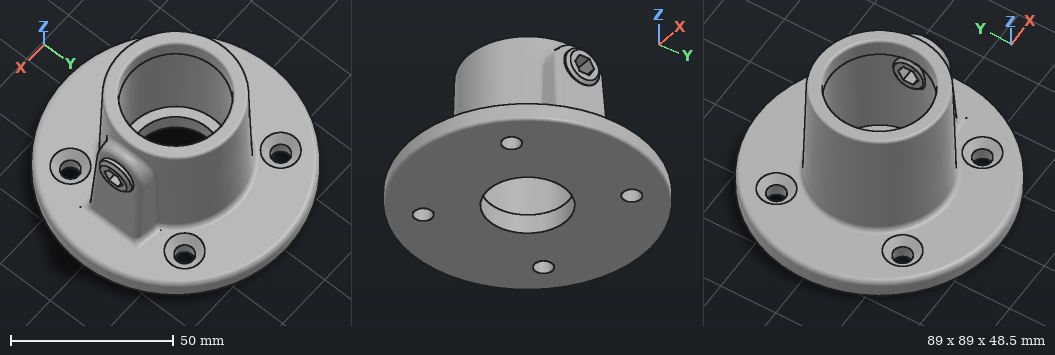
import cadquery as cq
import math

total_height = 48.5

flange_diameter = 89.0
flange_thickness = 7.0
flange_top_round = 2.0
flange_bottom_round = 1.0

socket_top_diameter = 45.1
socket_foot_diameter = 47.4
socket_rim_round = 1.0

mouth_diameter = 35.18
mouth_depth = 6.3
mouth_round = 1.0
relief_diameter = 36.18
through_diameter = 29.0
seat_height = flange_thickness

hole_count = 4
hole_circle_diameter = 65.0
hole_diameter = 6.5
countersink_diameter = 12.5
countersink_angle = 108.0

screw_height = 36.0
screw_diameter = 13.0
screw_inner_x = 16.6
screw_outer_x = 29.7
screw_chamfer = 1.1
hexagon_across_flats = 6.3

pad_root_x = 20.0
pad_root_radius = 10.0
pad_arch_height = 35.8
pad_side_draft = 2.3
pad_taper = 7.5
pad_foot_x = 30.15
pad_face_lean = 4.6
pad_overrun = 2.0

foot_round = 2.0
pad_side_round = 2.0
pad_face_round = 2.0

margin = 0.2


def cylinder(diameter, bottom, top):
    """Upright cylinder on the Z axis between two heights."""
    return cq.Workplane("XY", origin=(0, 0, bottom)).circle(diameter / 2).extrude(top - bottom)


def make_flange():
    """Disc with rounded edges."""
    flange = cylinder(flange_diameter, 0, flange_thickness)
    flange = flange.faces(">Z").edges().fillet(flange_top_round)
    return flange.faces("<Z").edges().fillet(flange_bottom_round)


def make_socket():
    """Cone with a rounded rim, standing on the flange."""
    socket = (
        cq.Workplane("XZ", origin=(0, 0, flange_thickness))
        .lineTo(socket_foot_diameter / 2, 0)
        .lineTo(socket_top_diameter / 2, total_height - flange_thickness)
        .lineTo(0, total_height - flange_thickness)
        .close()
        .revolve(360, (0, 0), (0, 1))
    )
    return socket.faces(">Z").edges().fillet(socket_rim_round)


def pad_section(x):
    """Arch-shaped wire of the pad at one X: its radius shrinks along +X."""
    draft = math.radians(pad_side_draft)
    radius = pad_root_radius - (x - pad_root_x) * math.tan(math.radians(pad_taper))
    tangent_y = radius * math.cos(draft)
    tangent_z = pad_arch_height + radius * math.sin(draft)
    foot_y = tangent_y + tangent_z * math.tan(draft)
    return (
        cq.Workplane("YZ", origin=(x, 0, 0))
        .moveTo(-foot_y, 0)
        .lineTo(-tangent_y, tangent_z)
        .threePointArc((0, pad_arch_height + radius), (tangent_y, tangent_z))
        .lineTo(foot_y, 0)
        .close()
        .val()
    )


def make_pad():
    """Arched pad with drafted sides, cut off by a face that leans back."""
    sections = [pad_section(pad_root_x), pad_section(pad_foot_x + pad_overrun)]
    arch = cq.Workplane(cq.Solid.makeLoft(sections, True))
    lean = math.tan(math.radians(pad_face_lean))
    face_bottom_x = pad_foot_x + flange_thickness * lean
    face_top_x = face_bottom_x - total_height * lean
    leaning_block = (
        cq.Workplane("XZ")
        .lineTo(face_bottom_x, 0)
        .lineTo(face_top_x, total_height)
        .lineTo(0, total_height)
        .close()
        .extrude(flange_diameter / 2, both=True)
    )
    return arch.intersect(leaning_block)


def edges_between(body, low, high):
    """Edges of the body whose centres lie in the box between two corners."""
    return body.edges(cq.selectors.BoxSelector(low, high))


def round_pad_and_foot(body):
    """Round the foot, then the pad face, then the corner between pad and socket."""
    half_width = socket_foot_diameter / 2 + margin
    above_foot = flange_thickness + foot_round / 2
    below_rim = total_height - socket_rim_round
    body = edges_between(
        body,
        (-half_width, -half_width, flange_thickness - margin),
        (pad_foot_x + margin, half_width, flange_thickness + margin),
    ).fillet(foot_round)
    body = edges_between(
        body,
        (pad_foot_x - 2 * pad_face_round, -half_width, above_foot),
        (pad_foot_x + margin, half_width, below_rim),
    ).fillet(pad_face_round)
    return edges_between(
        body,
        (0, -half_width, above_foot),
        (socket_foot_diameter / 2 - margin, half_width, below_rim),
    ).fillet(pad_side_round)


def cut_bore(body):
    """Bore the socket from above and open the flange below the tube seat."""
    relief_top = total_height - mouth_depth
    body = body.cut(cylinder(through_diameter, 0, total_height))
    body = body.cut(cylinder(relief_diameter, seat_height, relief_top))
    body = body.cut(cylinder(mouth_diameter, seat_height, total_height))
    inner_edge = cq.selectors.RadiusNthSelector(0)
    return body.faces(">Z").edges(inner_edge).fillet(mouth_round)


def cut_mounting_holes(body):
    """Countersunk holes on a circle, midway between the X and Y axes."""
    return (
        body.copyWorkplane(cq.Workplane("XY", origin=(0, 0, flange_thickness)))
        .polarArray(hole_circle_diameter / 2, 180 / hole_count, 360, hole_count)
        .cskHole(hole_diameter, countersink_diameter, countersink_angle)
    )


def add_screw(body):
    """Chamfered grub screw with a hexagon through it, two corners along Y."""
    screw_length = screw_outer_x - screw_inner_x
    inner_end = cq.Workplane("YZ", origin=(screw_inner_x, 0, screw_height))
    screw = inner_end.circle(screw_diameter / 2).extrude(screw_length)
    screw = screw.faces("<X or >X").edges().chamfer(screw_chamfer)
    corner_diameter = hexagon_across_flats / math.cos(math.pi / 6)
    hexagon = inner_end.polygon(6, corner_diameter).extrude(screw_length)
    return body.union(screw).cut(hexagon)


result = make_flange().union(make_socket()).union(make_pad())
result = round_pad_and_foot(result)
result = cut_mounting_holes(result)
result = cut_bore(result)
result = add_screw(result)